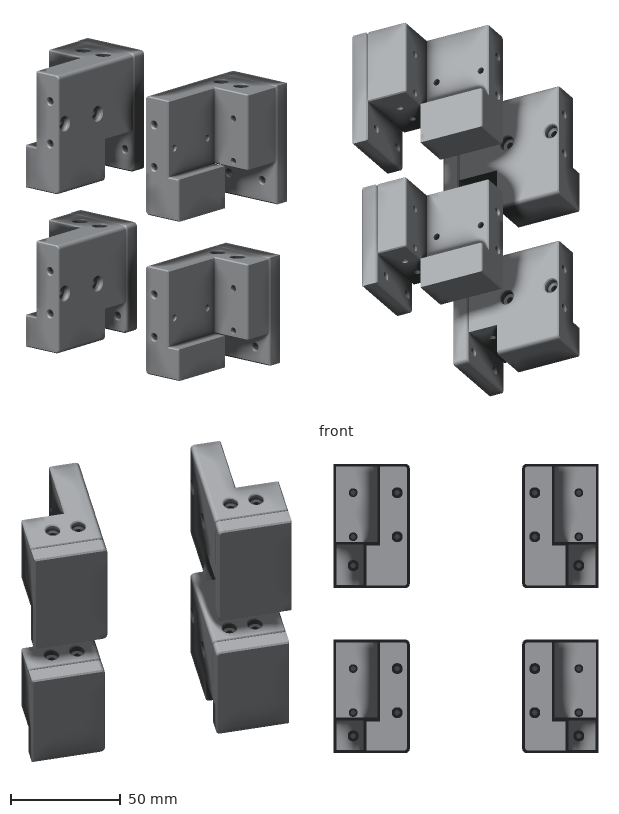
import cadquery as cq

total_width = 120.0
total_height = 131.0
unit_width = 34.0

plate_thickness = 8.0
leg_thickness = 14.0
leg_length = 32.0
foot_width = 20.3
block_height = 36.0
edge_chamfer = 0.5
plate_chamfer = 0.7
inner_fillet = 2.0

tall_height = 56.0
tall_depth = 60.0
tall_plate_hole_z = 10.0
short_height = 51.0
short_depth = 55.0
short_plate_hole_z = 7.5

clearance_diameter = 3.1
counterbore_diameter = 6.5
counterbore_depth = 3.3
mouth_chamfer = 0.5
tapped_diameter = 3.1
tapped_depth = 10.0
plate_hole_depth = plate_thickness / 2
block_hole_x = 8.6
leg_hole_x = 28.7
face_hole_drop = (12.8, 32.9)
top_hole_x = (12.6, 24.5)
side_hole_y = (4.0, 27.0)
side_hole_drop = 23.0

BACKWARD = (0, 1, 0)
DOWN = (0, 0, -1)
OUTWARD = (-1, 0, 0)


def box_between(low, high):
    """Box spanning two opposite corners."""
    size = [b - a for a, b in zip(low, high)]
    return cq.Workplane("XY").box(*size, centered=False).translate(low)


def drill(start, direction, diameter, length):
    """Cylinder that removes a round hole from a start point along a direction."""
    return cq.Workplane(cq.Solid.makeCylinder(diameter / 2, length, cq.Vector(*start), cq.Vector(*direction)))


def countersink(start, direction, diameter):
    """Cone that bevels the mouth of a hole."""
    radius = diameter / 2
    return cq.Workplane(
        cq.Solid.makeCone(radius + mouth_chamfer, radius, mouth_chamfer, cq.Vector(*start), cq.Vector(*direction))
    )


def round_inner_side(body):
    """Round the top and bottom edges of the side that faces the other column."""
    return body.faces(">X").edges("|Y").edges(">Z or <Z").fillet(inner_fillet)


def block_bottom_bevel(length, block_bottom):
    """Wedge that bevels the lower front edge of the block, from the outer side up to the leg."""
    return (
        cq.Workplane("YZ")
        .moveTo(leg_length, block_bottom)
        .lineTo(leg_length + edge_chamfer, block_bottom)
        .lineTo(leg_length, block_bottom + edge_chamfer)
        .close()
        .extrude(length)
    )


def make_bracket(height, depth):
    """Bracket with its outer side at x = 0, its front at y = 0 and its bottom at z = 0."""
    block_bottom = height - block_height
    leg_x = unit_width - leg_thickness
    foot_x = unit_width - foot_width

    leg = box_between((leg_x, 0, 0), (unit_width, leg_length, height))
    foot = box_between((foot_x, 0, 0), (unit_width, leg_length, block_bottom))
    block = box_between((0, leg_length, block_bottom), (unit_width, depth, height))
    block = block.cut(block_bottom_bevel(leg_x, block_bottom))
    bracket = round_inner_side(leg.union(foot).union(block))

    beveled = bracket.faces("<Y or >Y or <X").edges()
    for point in ((leg_x, leg_length / 2, height), (leg_x / 2, leg_length, height)):
        beveled = beveled.add(bracket.edges(cq.NearestToPointSelector(point)))
    bracket = beveled.chamfer(edge_chamfer)

    for drop in face_hole_drop:
        block_hole = (block_hole_x, leg_length, height - drop)
        leg_hole = (leg_hole_x, 0, height - drop)
        bracket = bracket.cut(drill(block_hole, BACKWARD, clearance_diameter, depth - leg_length))
        bracket = bracket.cut(drill(leg_hole, BACKWARD, tapped_diameter, tapped_depth))
        bracket = bracket.cut(countersink(leg_hole, BACKWARD, tapped_diameter))

    top_hole_y = (leg_length + depth) / 2
    for x in top_hole_x:
        top = (x, top_hole_y, height)
        bracket = bracket.cut(drill(top, DOWN, clearance_diameter, height))
        bracket = bracket.cut(drill(top, DOWN, counterbore_diameter, counterbore_depth))
        bracket = bracket.cut(countersink(top, DOWN, counterbore_diameter))

    for y in side_hole_y:
        inner = (unit_width, y, height - side_hole_drop)
        bracket = bracket.cut(drill(inner, OUTWARD, clearance_diameter, unit_width))
        bracket = bracket.cut(drill(inner, OUTWARD, counterbore_diameter, counterbore_depth))
        bracket = bracket.cut(countersink(inner, OUTWARD, counterbore_diameter))
    return bracket


def make_plate(height, depth, hole_z):
    """Back plate behind a bracket, with two blind tapped holes below the block."""
    plate_front = depth - plate_thickness
    plate = box_between((0, plate_front, 0), (unit_width, depth, height))
    plate = round_inner_side(plate)
    plate = plate.faces("<Y or >Y").edges().chamfer(plate_chamfer)
    for x in (block_hole_x, leg_hole_x):
        hole = (x, plate_front, hole_z)
        plate = plate.cut(drill(hole, BACKWARD, tapped_diameter, plate_hole_depth))
        plate = plate.cut(countersink(hole, BACKWARD, tapped_diameter))
    return plate


def both_columns(body, bottom_z):
    """Solid of the left column and its mirror image in the right column."""
    left = body.translate((-total_width / 2, 0, bottom_z))
    return [left.val(), left.mirror("YZ").val()]


tall_bottom = total_height - tall_height
tall_bracket = make_bracket(tall_height, tall_depth - plate_thickness)
tall_plate = make_plate(tall_height, tall_depth, tall_plate_hole_z)
short_bracket = make_bracket(short_height, short_depth - plate_thickness)
short_plate = make_plate(short_height, short_depth, short_plate_hole_z)

result = cq.Compound.makeCompound(
    [
        *both_columns(tall_bracket, tall_bottom),
        *both_columns(tall_plate, tall_bottom),
        *both_columns(short_bracket, 0),
        *both_columns(short_plate, 0),
    ]
)